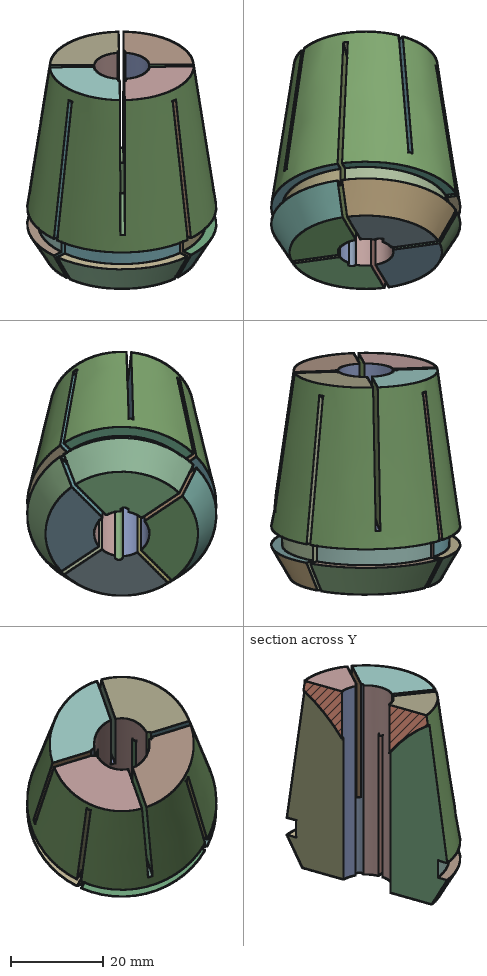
import cadquery as cq
import math

height = 46.0
max_radius = 20.495
top_radius = 15.6
groove_radius = 18.12
base_radius = 16.5
groove_bottom = 7.0
groove_top = 11.15
bore_radius = 6.0

slot_width = 1.0
lower_slot_bore_z = 34.22
lower_slot_outer_z = 43.5
lower_slot_arc_radius = 36.8
upper_slot_bore_z = 19.1
upper_slot_outer_z = 15.1
upper_slot_arc_radius = 20.7
cut_margin = 2.3

relief_radius = 0.87
relief_center_radius = 6.1
relief_angles = (135, 315)


def cone_radius(z):
    """Radius of the long outer cone at height z."""
    fraction = (height - z) / (height - groove_top)
    return top_radius + (max_radius - top_radius) * fraction


def arc_midpoint(start, end, radius, side):
    """Middle of the shallow arc, bulging down (side -1) or up (side 1)."""
    run = end[0] - start[0]
    rise = end[1] - start[1]
    half_chord = math.hypot(run, rise) / 2
    sagitta = radius - math.sqrt(radius**2 - half_chord**2)
    offset = side * sagitta / (2 * half_chord)
    return (
        (start[0] + end[0]) / 2 - rise * offset,
        (start[1] + end[1]) / 2 + run * offset,
    )


def radial_slot(open_z, bore_z, outer_z, arc_radius, side, angle):
    """Cutter from the axis outward, open at open_z and closed by the arc."""
    outer_x = max_radius + cut_margin
    bore_point = (bore_radius, bore_z)
    cone_point = (cone_radius(outer_z), outer_z)
    middle = arc_midpoint(bore_point, cone_point, arc_radius, side)
    return (
        cq.Workplane("XZ")
        .moveTo(0, open_z)
        .lineTo(0, bore_z)
        .lineTo(*bore_point)
        .threePointArc(middle, cone_point)
        .lineTo(outer_x, outer_z)
        .lineTo(outer_x, open_z)
        .close()
        .extrude(slot_width / 2, both=True)
        .rotate((0, 0, 0), (0, 0, 1), angle)
    )


def collet_body():
    profile = [
        (bore_radius, 0),
        (base_radius, 0),
        (max_radius, groove_bottom),
        (groove_radius, groove_bottom),
        (groove_radius, groove_top),
        (max_radius, groove_top),
        (top_radius, height),
        (bore_radius, height),
    ]
    return cq.Workplane("XZ").polyline(profile).close().revolve(360, (0, 0), (0, 1))


result = collet_body()

for quarter in range(4):
    lower_angle = 90 * quarter
    upper_angle = lower_angle + 45
    result = result.cut(radial_slot(
        -cut_margin, lower_slot_bore_z, lower_slot_outer_z,
        lower_slot_arc_radius, 1, lower_angle,
    ))
    result = result.cut(radial_slot(
        height + cut_margin, upper_slot_bore_z, upper_slot_outer_z,
        upper_slot_arc_radius, -1, upper_angle,
    ))

relief_holes = (
    cq.Workplane("XY")
    .pushPoints([
        (
            relief_center_radius * math.cos(math.radians(angle)),
            relief_center_radius * math.sin(math.radians(angle)),
        )
        for angle in relief_angles
    ])
    .circle(relief_radius)
    .extrude(height)
)
result = result.cut(relief_holes)